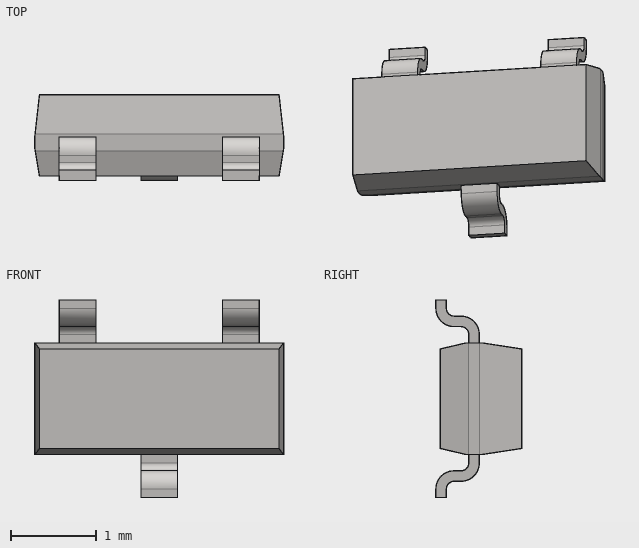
import cadquery as cq

LENGTH = 2.9
DEPTH = 1.0
HEIGHT = 2.3

BODY_HEIGHT = 1.3
BODY_DEPTH = 0.948
END_INSET = 0.055
SIDE_INSET = 0.07
SIDE_BAND_FRONT = 0.348
SIDE_BAND_BACK = 0.545
STANDOFF = DEPTH - BODY_DEPTH

LEAD_WIDTH = 0.43
LEAD_THICKNESS = 0.125
LEAD_PITCH = 1.9
LEAD_FRONT = 0.383
LEAD_STRAIGHT = 0.1
LEAD_EMBED = 0.115
LEAD_BACK = LEAD_FRONT + LEAD_THICKNESS
LEAD_REACH = (HEIGHT - BODY_HEIGHT) / 2
BEND_INNER = (LEAD_REACH - 2 * LEAD_STRAIGHT - LEAD_THICKNESS) / 2
BEND_OUTER = BEND_INNER + LEAD_THICKNESS


def tapered_outline(plane, half_width, inset, band_front, band_back):
    """Outline along Y with a full-width band and both faces drawn in by the inset."""
    half_face = half_width - inset
    right_side = [
        (half_face, STANDOFF),
        (half_width, band_front),
        (half_width, band_back),
        (half_face, DEPTH),
    ]
    left_side = [(-across, y) for across, y in reversed(right_side)]
    points = right_side + left_side
    if plane == "YZ":
        points = [(y, across) for across, y in points]
    return cq.Workplane(plane).polyline(points).close()


def make_body():
    """Intersect the end tapers with the top and bottom tapers.

    The flat band on the ends is only as wide as the lead thickness.
    """
    ends = tapered_outline("XY", LENGTH / 2, END_INSET, LEAD_FRONT, LEAD_BACK)
    sides = tapered_outline("YZ", BODY_HEIGHT / 2, SIDE_INSET, SIDE_BAND_FRONT, SIDE_BAND_BACK)
    end_prism = ends.extrude(BODY_HEIGHT / 2, both=True)
    side_prism = sides.extrude(LENGTH / 2, both=True)
    return end_prism.intersect(side_prism)


def make_upper_lead(x_center):
    """Bent lead rising from the top of the body and stepping down to Y = 0."""
    root_z = BODY_HEIGHT / 2 - LEAD_EMBED
    first_bend_z = BODY_HEIGHT / 2 + LEAD_STRAIGHT
    tip_z = HEIGHT / 2
    second_bend_z = tip_z - LEAD_STRAIGHT
    profile = (
        cq.Workplane("YZ", origin=(x_center, 0, 0))
        .moveTo(LEAD_BACK, root_z)
        .lineTo(LEAD_BACK, first_bend_z)
        .tangentArcPoint((LEAD_BACK - BEND_OUTER, first_bend_z + BEND_OUTER), relative=False)
        .lineTo(BEND_OUTER, first_bend_z + BEND_OUTER)
        .tangentArcPoint((LEAD_THICKNESS, second_bend_z), relative=False)
        .lineTo(LEAD_THICKNESS, tip_z)
        .lineTo(0, tip_z)
        .lineTo(0, second_bend_z)
        .tangentArcPoint((BEND_OUTER, second_bend_z - BEND_OUTER), relative=False)
        .lineTo(LEAD_FRONT - BEND_INNER, second_bend_z - BEND_OUTER)
        .tangentArcPoint((LEAD_FRONT, first_bend_z), relative=False)
        .lineTo(LEAD_FRONT, root_z)
        .close()
    )
    return profile.extrude(LEAD_WIDTH / 2, both=True)


result = make_body()
for lead_x in (-LEAD_PITCH / 2, LEAD_PITCH / 2):
    result = result.union(make_upper_lead(lead_x))

result = result.union(make_upper_lead(0).mirror("XY"))